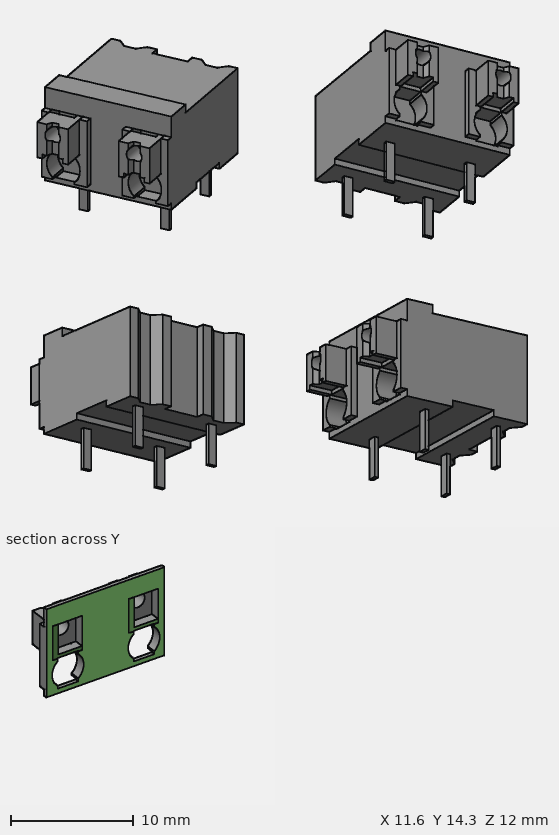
import cadquery as cq
import math


OVERALL_DEPTH = 14.3

WIDTH = 11.63
DEPTH = 11.7
HEIGHT = 8.5
RIDGE_DEPTH = 2.5
RIDGE_HEIGHT = 0.75
UNDERSIDE_RECESS_START = 4.46
UNDERSIDE_RECESS_END = 8.45
UNDERSIDE_RECESS_HEIGHT = 0.55

PITCH = 7.5
POLE_CENTRES = (-PITCH / 2, PITCH / 2)

PAD_WIDTH = 4.19
PAD_PROJECTION = 0.6
PAD_BOTTOM = 0.6
PAD_TOP = 6.6

V_NOTCH_WIDTH = 2.49
V_NOTCH_FLOOR_WIDTH = 1.06
V_NOTCH_DEPTH = 0.7
REAR_SLOT_WIDTH = WIDTH - 2 * PAD_WIDTH
REAR_SLOT_DEPTH = 0.82

CAVITY_END = 1.32
WIRE_ENTRY_OFFSET = -0.06
WIRE_BULGE_RADIUS = 1.53
WIRE_BULGE_HEIGHT = 1.93
WIRE_SLOT_WIDTH = 2.0
WIRE_SLOT_BOTTOM = 0.5

BUTTON_WIDTH = 2.85
BUTTON_BOTTOM = 3.39
BUTTON_FRONT = DEPTH - OVERALL_DEPTH
PLATE_BACK = -0.49
STEM_WIDTH = 0.53
GROOVE_WIDTH = 1.12
GROOVE_FLOOR_WIDTH = 0.59
GROOVE_DEPTH = 0.5
BUTTON_HOLE_RADIUS = 0.7
BUTTON_HOLE_HEIGHT = 5.59
FOOT_NOTCH_WIDTH = 1.89
FOOT_HEIGHT = 0.37

PIN_WIDTH = 0.8
PIN_THICKNESS = 0.35
PIN_LENGTH = 3.5
PIN_ROWS = (3.0, 10.0)


def box(x_min, x_max, y_min, y_max, z_min, z_max):
    """Axis-aligned box between the given limits."""
    block = cq.Workplane("XY").box(x_max - x_min, y_max - y_min, z_max - z_min, centered=False)
    return block.translate((x_min, y_min, z_min))


def centred_box(x_centre, width, y_min, y_max, z_min, z_max):
    """Box of the given width, symmetric about x_centre."""
    return box(x_centre - width / 2, x_centre + width / 2, y_min, y_max, z_min, z_max)


def trapezoid_prism(x_centre, y_wide, width, y_narrow, narrow_width, height):
    """Upright prism from Z = 0 with a trapezoid plan, for grooves and notches with sloped sides."""
    return (
        cq.Workplane("XY")
        .moveTo(x_centre - width / 2, y_wide)
        .lineTo(x_centre - narrow_width / 2, y_narrow)
        .lineTo(x_centre + narrow_width / 2, y_narrow)
        .lineTo(x_centre + width / 2, y_wide)
        .close()
        .extrude(height)
    )


def make_body_profile():
    """Side profile with the top ridge and the underside recess, extruded across the width."""
    deck = HEIGHT - RIDGE_HEIGHT
    profile = [
        (0, 0),
        (UNDERSIDE_RECESS_START, 0),
        (UNDERSIDE_RECESS_START, UNDERSIDE_RECESS_HEIGHT),
        (UNDERSIDE_RECESS_END, UNDERSIDE_RECESS_HEIGHT),
        (UNDERSIDE_RECESS_END, 0),
        (DEPTH, 0),
        (DEPTH, deck),
        (RIDGE_DEPTH, deck),
        (RIDGE_DEPTH, HEIGHT),
        (0, HEIGHT),
    ]
    return cq.Workplane("YZ").polyline(profile).close().extrude(WIDTH / 2, both=True)


def add_pads(body):
    """Pads at the outer ends of the front face."""
    pad_centre = (WIDTH - PAD_WIDTH) / 2
    for x_centre in (-pad_centre, pad_centre):
        body = body.union(centred_box(x_centre, PAD_WIDTH, -PAD_PROJECTION, 0, PAD_BOTTOM, PAD_TOP))
    return body


def cut_rear_notches(body):
    """V notch behind each pole and a square slot between them, all over the full height."""
    body = body.cut(centred_box(0, REAR_SLOT_WIDTH, DEPTH - REAR_SLOT_DEPTH, DEPTH, 0, HEIGHT))
    for x_centre in POLE_CENTRES:
        body = body.cut(
            trapezoid_prism(
                x_centre, DEPTH, V_NOTCH_WIDTH, DEPTH - V_NOTCH_DEPTH, V_NOTCH_FLOOR_WIDTH, HEIGHT
            )
        )
    return body


def make_wire_entry(x_centre):
    """Straight-sided slot bulging into round sides, from the pad's front face to the cavity's end."""
    half_width = WIRE_SLOT_WIDTH / 2
    half_height = math.sqrt(WIRE_BULGE_RADIUS**2 - half_width**2)
    arc_bottom = WIRE_BULGE_HEIGHT - half_height
    arc_top = WIRE_BULGE_HEIGHT + half_height
    return (
        cq.Workplane("XZ", origin=(x_centre, -PAD_PROJECTION, 0))
        .moveTo(-half_width, WIRE_SLOT_BOTTOM)
        .lineTo(-half_width, arc_bottom)
        .threePointArc((-WIRE_BULGE_RADIUS, WIRE_BULGE_HEIGHT), (-half_width, arc_top))
        .lineTo(-half_width, BUTTON_BOTTOM)
        .lineTo(half_width, BUTTON_BOTTOM)
        .lineTo(half_width, arc_top)
        .threePointArc((WIRE_BULGE_RADIUS, WIRE_BULGE_HEIGHT), (half_width, arc_bottom))
        .lineTo(half_width, WIRE_SLOT_BOTTOM)
        .close()
        .extrude(-(CAVITY_END + PAD_PROJECTION))
    )


def cut_pole_cavities(body):
    """Button pocket, open at the top of the pad, above the wire entry of each pole."""
    for x_centre in POLE_CENTRES:
        pocket = centred_box(
            x_centre, BUTTON_WIDTH, -PAD_PROJECTION, CAVITY_END, BUTTON_BOTTOM, PAD_TOP
        )
        body = body.cut(pocket).cut(make_wire_entry(x_centre + WIRE_ENTRY_OFFSET))
    return body


def make_housing():
    """Terminal block body with its pads, rear notches and pole cavities."""
    body = make_body_profile()
    body = add_pads(body)
    body = cut_rear_notches(body)
    return cut_pole_cavities(body)


def make_button(x_centre):
    """Button with a gap behind its front plate; the plate is grooved, drilled and notched at the foot."""
    left_side = x_centre - BUTTON_WIDTH / 2
    stem_side = left_side + BUTTON_WIDTH - STEM_WIDTH
    foot_top = BUTTON_BOTTOM + FOOT_HEIGHT
    blank = centred_box(x_centre, BUTTON_WIDTH, BUTTON_FRONT, CAVITY_END, BUTTON_BOTTOM, PAD_TOP)
    gap = box(left_side, stem_side, PLATE_BACK, CAVITY_END, foot_top, PAD_TOP)
    groove = trapezoid_prism(
        x_centre, BUTTON_FRONT, GROOVE_WIDTH, BUTTON_FRONT + GROOVE_DEPTH, GROOVE_FLOOR_WIDTH, PAD_TOP
    )
    hole = (
        cq.Workplane("XZ", origin=(x_centre, BUTTON_FRONT, BUTTON_HOLE_HEIGHT))
        .circle(BUTTON_HOLE_RADIUS)
        .extrude(BUTTON_FRONT - PLATE_BACK)
    )
    foot_notch = centred_box(
        x_centre, FOOT_NOTCH_WIDTH, BUTTON_FRONT, PLATE_BACK, BUTTON_BOTTOM, foot_top
    )
    return blank.cut(gap).cut(groove).cut(hole).cut(foot_notch)


def make_pin(x_centre, y_centre):
    """Flat solder pin hanging from the underside of the housing."""
    y_min = y_centre - PIN_THICKNESS / 2
    return centred_box(x_centre, PIN_WIDTH, y_min, y_min + PIN_THICKNESS, -PIN_LENGTH, 0)


housing = make_housing()
buttons = [make_button(x_centre) for x_centre in POLE_CENTRES]
pins = [make_pin(x_centre, y_centre) for x_centre in POLE_CENTRES for y_centre in PIN_ROWS]

bodies = [housing, *buttons, *pins]

result = cq.Compound.makeCompound([body.solids().val() for body in bodies])